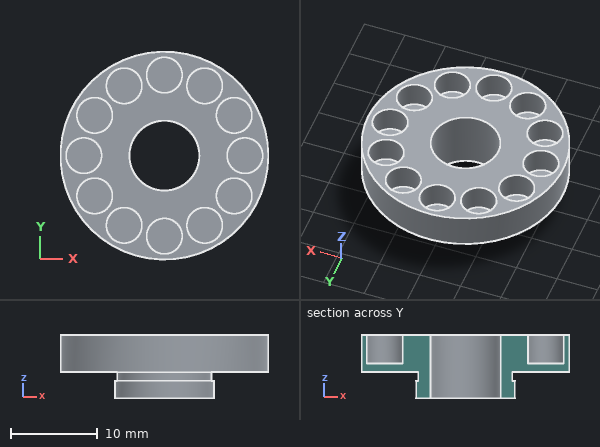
import cadquery as cq

disc_diameter = 24.0
disc_thickness = 4.3
pocket_count = 12
pocket_diameter = 4.1
pocket_circle_radius = 9.3
pocket_floor = 1.0
pocket_depth = disc_thickness - pocket_floor

neck_diameter = 10.9
neck_height = 1.0
collar_diameter = 11.45
collar_height = 2.0
bore_diameter = 8.05

total_height = collar_height + neck_height + disc_thickness


def cylinder(diameter, height, base_z):
    """Upright cylinder on the Z axis, starting at base_z."""
    return cq.Workplane("XY").workplane(offset=base_z).circle(diameter / 2).extrude(height)


collar = cylinder(collar_diameter, collar_height, 0)
neck = cylinder(neck_diameter, neck_height, collar_height)
disc = cylinder(disc_diameter, disc_thickness, collar_height + neck_height)
body = collar.union(neck).union(disc)

bore = cylinder(bore_diameter, total_height, 0)

pockets = (
    cq.Workplane("XY")
    .workplane(offset=total_height)
    .polarArray(pocket_circle_radius, 0, 360, pocket_count)
    .circle(pocket_diameter / 2)
    .extrude(-pocket_depth)
)

result = body.cut(bore).cut(pockets)